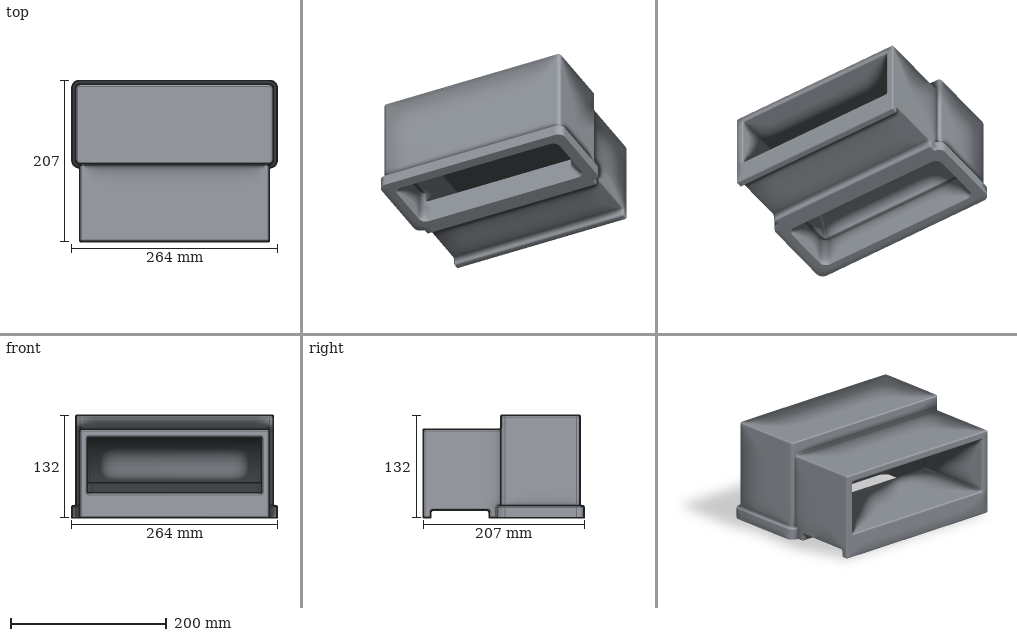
import cadquery as cq

flange_width = 264.0
flange_depth = 112.0
flange_height = 15.5
flange_margin = 5.0
flange_corner_radius = 10.0
housing_width = flange_width - 2 * flange_margin
housing_depth = flange_depth - 2 * flange_margin
housing_height = 132.0
housing_corner_radius = flange_corner_radius - flange_margin
housing_back = flange_margin
housing_front = housing_back + housing_depth

duct_width = housing_width - 2 * housing_corner_radius
duct_length = 100.0
duct_height = 114.0
duct_front = -(housing_front + duct_length)

wall = 10.0
passage_width = duct_width - 2 * wall
passage_floor = 32.0
passage_ceiling = duct_height - wall
passage_corner_radius = 2.0
socket_width = housing_width - 2 * wall
socket_height = 45.0
socket_back = -(housing_back + wall)
socket_front = -(housing_front - wall)
socket_corner_radius = 10.0
bend_radius = passage_ceiling - socket_height
bend_back = socket_back - (socket_width - passage_width) / 2

foot_thickness = 10.0
gap_height = 10.0
gap_back = -(flange_depth + foot_thickness)
gap_front = duct_front + foot_thickness
gap_corner_radius = 3.0

edge_radius = 2.0
seat_radius = 2.0
lip_radius = 1.0
base_edge_radius = 0.4
tolerance = 0.01


def block(width, y_front, y_back, z_bottom, z_top):
    """Box centred on X = 0 between the given Y and Z limits."""
    depth = y_back - y_front
    height = z_top - z_bottom
    corner = (-width / 2, y_front, z_bottom)
    return cq.Workplane("XY").box(width, depth, height, centered=False).translate(corner)


def make_flange():
    flange = block(flange_width, -flange_depth, 0, 0, flange_height)
    flange = flange.edges("|Z").fillet(flange_corner_radius)
    return flange.faces(">Z").edges().fillet(edge_radius)


def make_housing():
    housing = block(housing_width, -housing_front, -housing_back, 0, housing_height)
    housing = housing.edges("|Z").fillet(housing_corner_radius)
    return housing.faces(">Z").edges().fillet(edge_radius)


def make_duct():
    """Duct block with the gap under it; its back end is buried in the housing."""
    duct = block(duct_width, duct_front, socket_front, 0, duct_height)
    gap = block(2 * duct_width, gap_front, gap_back, -gap_height, gap_height)
    gap = gap.edges("|X and >Z").fillet(gap_corner_radius)
    duct = duct.cut(gap)
    back_edges = duct.faces(">Y").edges().vals()
    exposed_edges = [edge for edge in duct.edges().vals() if edge not in back_edges]
    return duct.newObject(exposed_edges).fillet(edge_radius)


def make_passage():
    """Horizontal run and quarter-round bend, with the long edges rounded."""
    floor_end = socket_front + socket_corner_radius
    run = (
        cq.Workplane("YZ", origin=(-passage_width / 2, 0, 0))
        .moveTo(duct_front, passage_floor)
        .lineTo(duct_front, passage_ceiling)
        .lineTo(bend_back - bend_radius, passage_ceiling)
        .radiusArc((bend_back, socket_height), bend_radius)
        .lineTo(floor_end, socket_height)
        .lineTo(floor_end, passage_floor)
        .close()
        .extrude(passage_width)
    )
    lengthwise_edges = [
        edge for edge in run.faces("<X or >X").edges().vals()
        if edge.geomType() == "CIRCLE"
        or edge.Center().z in (passage_floor, passage_ceiling)
    ]
    return run.newObject(lengthwise_edges).fillet(passage_corner_radius)


def make_socket():
    """Vertical outlet from the bend down through the base."""
    socket = block(socket_width, socket_front, socket_back, 0, socket_height)
    return socket.edges("|Z").fillet(socket_corner_radius)


def edges_inside(body, half_width, y_front, y_back, z_bottom, z_top):
    """Edges of the body that lie completely inside the given limits."""
    low = (-half_width - tolerance, y_front - tolerance, z_bottom - tolerance)
    high = (half_width + tolerance, y_back + tolerance, z_top + tolerance)
    return body.edges(cq.selectors.BoxSelector(low, high, boundingbox=True))


def make_step_fillet():
    """Concave filler between the top of the duct and the front of the housing."""
    half_length = duct_width / 2 - edge_radius
    return (
        cq.Workplane("YZ", origin=(-half_length, 0, 0))
        .moveTo(-housing_front, duct_height + seat_radius)
        .radiusArc((-housing_front - seat_radius, duct_height), seat_radius)
        .lineTo(-housing_front - seat_radius, duct_height - seat_radius)
        .lineTo(-housing_front + seat_radius, duct_height - seat_radius)
        .lineTo(-housing_front + seat_radius, duct_height + seat_radius)
        .close()
        .extrude(2 * half_length)
    )


def round_flange_seat(body):
    """Fillet where the housing and duct rise from the flange."""
    rim_front = -flange_depth + edge_radius
    seat = edges_inside(
        body, housing_width / 2, rim_front, -housing_back, flange_height, flange_height
    )
    return seat.fillet(seat_radius)


def round_mouth(body):
    """Fillet the rim of the duct opening."""
    rim = edges_inside(
        body, passage_width / 2, duct_front, duct_front, passage_floor, passage_ceiling
    )
    return rim.fillet(edge_radius)


def round_bend_lip(body):
    """Fillet where the bend opens into the socket roof; the fillet follows the tangent side edges."""
    back_lip = edges_inside(
        body, passage_width / 2, bend_back, bend_back, socket_height, socket_height
    )
    return back_lip.fillet(lip_radius)


def round_flange_base(body):
    """Break the bottom edge of the flange; the fillet follows its tangent sides and corners."""
    back_edge = edges_inside(body, flange_width / 2, 0, 0, 0, 0)
    return back_edge.fillet(base_edge_radius)


shell = make_flange().union(make_housing()).union(make_duct())
shell = round_flange_base(round_flange_seat(shell))
shell = shell.union(make_step_fillet())
body = shell.cut(make_passage()).cut(make_socket())
result = round_mouth(round_bend_lip(body))